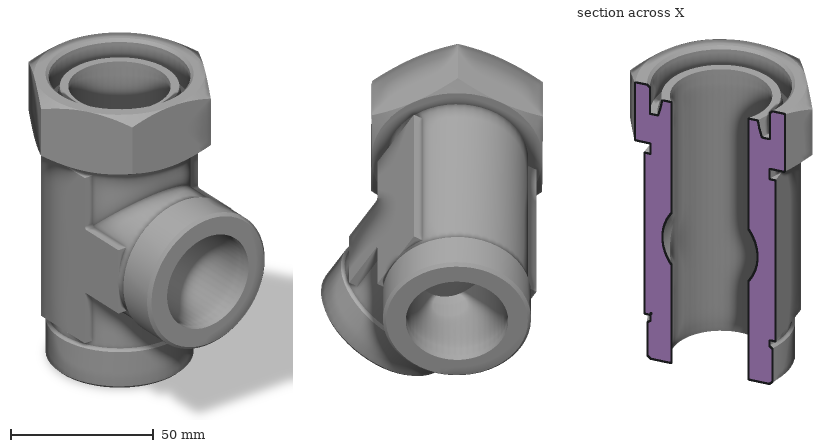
import cadquery as cq
import math

TOTAL_HEIGHT = 112.0
BORE_DIA = 36.0
BODY_DIA = 50.0
COLLAR_DIA = 52.0
ARM_LENGTH = 51.0
COLLAR_START = 35.2
COLLAR_LEAD_IN = 1.0
COLLAR_TIP = 1.1

PAD_WIDTH = 25.3
PAD_HALF_HEIGHT = 33.0
PAD_REACH = 32.0
PAD_CORNER_RADIUS = 1.0

NUT_TOP = TOTAL_HEIGHT - ARM_LENGTH
NUT_HEIGHT = 24.0
NUT_BOTTOM = NUT_TOP - NUT_HEIGHT
NUT_FLATS = 60.0
NUT_CORNERS = NUT_FLATS / math.cos(math.radians(30))
NUT_CHAMFER_ANGLE = 30
NUT_BORE_DIA = 49.8
NUT_MOUTH_DIA = 52.0

NOSE_DEPTH = 5.0
NOSE_TOP = NUT_TOP - NOSE_DEPTH
NOSE_TIP_DIA = 42.0
NOSE_BASE_DIA = 44.8
NOSE_HALF_ANGLE = 12
NOSE_HEIGHT = (NOSE_BASE_DIA - NOSE_TIP_DIA) / 2 / math.tan(math.radians(NOSE_HALF_ANGLE))
SHOULDER_TOP = NOSE_TOP - NOSE_HEIGHT


def revolve_z(profile):
    """Turn a closed (radius, z) profile about the Z axis."""
    return cq.Workplane("XZ").polyline(profile).close().revolve(360, (0, 0, 0), (0, 1, 0))


def make_arm():
    """Arm pointing up Z from the axis crossing, with a chamfered end collar."""
    body_r = BODY_DIA / 2
    collar_r = COLLAR_DIA / 2
    return revolve_z([
        (0, 0),
        (body_r, 0),
        (body_r, COLLAR_START),
        (collar_r, COLLAR_START + COLLAR_LEAD_IN),
        (collar_r, ARM_LENGTH - COLLAR_TIP),
        (collar_r - COLLAR_TIP, ARM_LENGTH),
        (0, ARM_LENGTH),
    ])


def make_pads():
    """T-shaped block whose two faces lie tangent to the round body."""
    half_width = PAD_WIDTH / 2
    upright = cq.Workplane("XY").box(PAD_WIDTH, BODY_DIA, 2 * PAD_HALF_HEIGHT)
    crossbar = cq.Workplane("XY").box(PAD_REACH, BODY_DIA, PAD_WIDTH, centered=(False, True, True))
    margin = PAD_CORNER_RADIUS
    inner_corners = cq.selectors.BoxSelector(
        (half_width - margin, -BODY_DIA, -half_width - margin),
        (half_width + margin, BODY_DIA, half_width + margin),
    )
    return upright.union(crossbar).edges("|Y").edges(inner_corners).fillet(PAD_CORNER_RADIUS)


def make_nut():
    """Hexagon with corners on Y, both ends turned down to a cone."""
    flat_r = NUT_FLATS / 2
    corner_r = NUT_CORNERS / 2
    drop = (corner_r - flat_r) * math.tan(math.radians(NUT_CHAMFER_ANGLE))
    hexagon = (
        cq.Workplane("XY", origin=(0, 0, NUT_BOTTOM))
        .polygon(6, NUT_CORNERS)
        .extrude(NUT_HEIGHT)
        .rotate((0, 0, 0), (0, 0, 1), 30)
    )
    turned = revolve_z([
        (0, NUT_BOTTOM),
        (flat_r, NUT_BOTTOM),
        (corner_r, NUT_BOTTOM + drop),
        (corner_r, NUT_TOP - drop),
        (flat_r, NUT_TOP),
        (0, NUT_TOP),
    ])
    return hexagon.intersect(turned)


def make_nut_recess():
    """Ring-shaped space between the nut bore and the conical nose."""
    bore_r = NUT_BORE_DIA / 2
    mouth_r = NUT_MOUTH_DIA / 2
    return revolve_z([
        (0, NOSE_TOP),
        (NOSE_TIP_DIA / 2, NOSE_TOP),
        (NOSE_BASE_DIA / 2, SHOULDER_TOP),
        (bore_r, SHOULDER_TOP),
        (bore_r, NUT_TOP - (mouth_r - bore_r)),
        (mouth_r, NUT_TOP),
        (0, NUT_TOP),
    ])


lower_arm = make_arm().rotate((0, 0, 0), (1, 0, 0), 180)
branch_arm = make_arm().rotate((0, 0, 0), (0, 1, 0), 90)
upper_arm = cq.Workplane("XY").circle(BODY_DIA / 2).extrude(NUT_BOTTOM)

run_bore = (
    cq.Workplane("XY", origin=(0, 0, -ARM_LENGTH))
    .circle(BORE_DIA / 2)
    .extrude(ARM_LENGTH + NUT_TOP)
)
branch_bore = cq.Workplane("YZ").circle(BORE_DIA / 2).extrude(ARM_LENGTH)

tee = lower_arm.union(upper_arm).union(branch_arm).union(make_pads()).union(make_nut())
result = tee.cut(make_nut_recess()).cut(run_bore).cut(branch_bore)